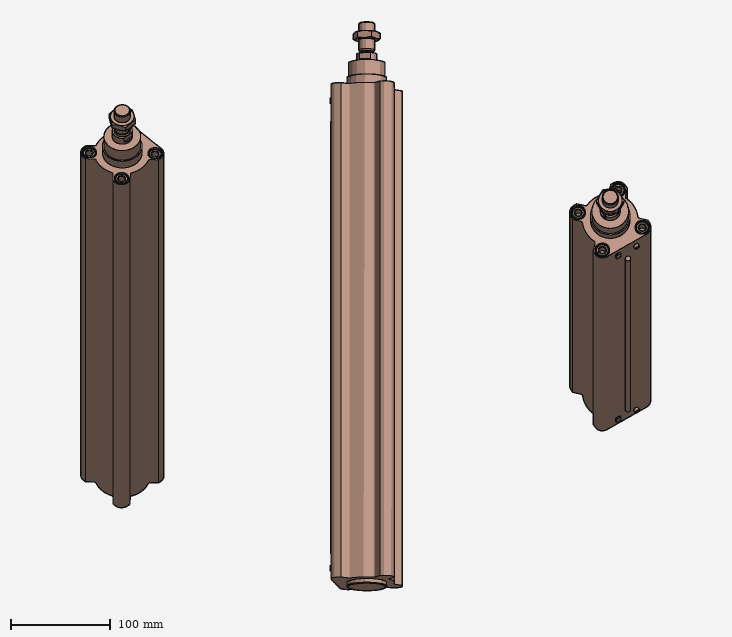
import cadquery as cq
import math


TOTAL_HEIGHT = 578
TUBE_BOTTOM = 4.5
TUBE_TOP = 511.5
SHOULDER_TOP = 522.0
NECK_TOP = 537.0
FLATS_BOTTOM = 539.5
FLATS_TOP = 546.0
UNDERCUT_BOTTOM = 547.0
UNDERCUT_TOP = 548.5
THREAD_BOTTOM = 550.0

TUBE_WIDTH = 64.0
POST_SPACING = 47.0
BELLY_DIAMETER = 56.0
POST_FLAT = 3.5
FLANK_INNER = 13.0
FLANK_FILLET = 2.5
SHOULDER_DIAMETER = 40.0
NECK_DIAMETER = 37.0
BOSS_CHAMFER = 0.85

POCKET_DIAMETER = 14.5
HEAD_DIAMETER = 13.5
HEAD_RIM_DIAMETER = 11.5
HEAD_DROP = 1.0
POCKET_DEPTH = 2.5
THREAD_MOUTH_DIAMETER = 8.0
SCREW_THREAD_DIAMETER = 7.0
SCREW_THREAD_DEPTH = 11.5
DRILL_TIP_ANGLE = 118

RAIL_DIAMETER = 5.4
RAIL_HEIGHT = 4.85
RAIL_BOTTOM = 36.0
RAIL_TOP = 478.5
STUD_OFFSET = 10.5
STUD_END_DISTANCE = 14.0
STUD_DIAMETER = 5.4
STUD_HEIGHT = 3.2
PAD_LENGTH = 11.5
PAD_HEIGHT = 1.45

ROD_DIAMETER = 20.0
ROD_ACROSS_FLATS = 17.0
ROD_THREAD_DIAMETER = 16.0
UNDERCUT_DIAMETER = 14.0
ROD_END_CHAMFER = 0.85
NUT_ACROSS_FLATS = 24.0
NUT_BOTTOM = 560.5
NUT_HEIGHT = 7.5
NUT_FACE_DIAMETER = 23.5
NUT_CHAMFER_ANGLE = 30

HALF_WIDTH = TUBE_WIDTH / 2
POST_CENTRE = POST_SPACING / 2
POST_RADIUS = HALF_WIDTH - POST_CENTRE
BELLY_RADIUS = BELLY_DIAMETER / 2


def cylinder(diameter, bottom, top):
    return cq.Workplane("XY").workplane(offset=bottom).circle(diameter / 2).extrude(top - bottom)


def is_flank_root(point):
    """True for a point at an inner corner between the belly and a flank."""
    near_axis = math.isclose(math.hypot(point.x, point.y), BELLY_RADIUS, abs_tol=0.05)
    return near_axis and math.isclose(min(abs(point.x), abs(point.y)), FLANK_INNER, abs_tol=0.05)


def tube():
    """Round belly with four corner posts and a full-width flat wall on the +Y side."""
    height = TUBE_TOP - TUBE_BOTTOM
    body = cylinder(BELLY_DIAMETER, TUBE_BOTTOM, TUBE_TOP)

    flat_end = POST_CENTRE - POST_FLAT
    arc_middle = POST_CENTRE + POST_RADIUS * math.sqrt(0.5)
    neck_outer = math.sqrt(BELLY_RADIUS**2 - FLANK_INNER**2)
    post = (
        cq.Workplane("XY")
        .workplane(offset=TUBE_BOTTOM)
        .moveTo(0, 0)
        .lineTo(neck_outer, FLANK_INNER)
        .lineTo(HALF_WIDTH, flat_end)
        .lineTo(HALF_WIDTH, POST_CENTRE)
        .threePointArc((arc_middle, arc_middle), (POST_CENTRE, HALF_WIDTH))
        .lineTo(flat_end, HALF_WIDTH)
        .lineTo(FLANK_INNER, neck_outer)
        .close()
        .extrude(height)
    )
    for turn in range(4):
        body = body.union(post.rotate((0, 0, 0), (0, 0, 1), 90 * turn))

    corners = body.edges("|Z").filter(lambda edge: is_flank_root(edge.Center()))
    body = corners.fillet(FLANK_FILLET)

    wall = (
        cq.Workplane("XY")
        .workplane(offset=TUBE_BOTTOM)
        .center(0, POST_CENTRE)
        .rect(POST_SPACING, 2 * POST_RADIUS)
        .extrude(height)
    )
    return body.union(wall)


def screw_hole():
    """Sunk screw head with a threaded hole and drill tip, as the space to remove from a post."""
    head_top = TUBE_TOP - HEAD_DROP
    head_chamfer = (HEAD_DIAMETER - HEAD_RIM_DIAMETER) / 2
    mouth_chamfer = (THREAD_MOUTH_DIAMETER - SCREW_THREAD_DIAMETER) / 2
    thread_bottom = TUBE_TOP - SCREW_THREAD_DEPTH
    tip_height = SCREW_THREAD_DIAMETER / 2 / math.tan(math.radians(DRILL_TIP_ANGLE / 2))
    return (
        cq.Workplane("XZ")
        .moveTo(0, TUBE_TOP)
        .lineTo(POCKET_DIAMETER / 2, TUBE_TOP)
        .lineTo(POCKET_DIAMETER / 2, TUBE_TOP - POCKET_DEPTH)
        .lineTo(HEAD_DIAMETER / 2, TUBE_TOP - POCKET_DEPTH)
        .lineTo(HEAD_DIAMETER / 2, head_top - head_chamfer)
        .lineTo(HEAD_RIM_DIAMETER / 2, head_top)
        .lineTo(THREAD_MOUTH_DIAMETER / 2, head_top)
        .lineTo(SCREW_THREAD_DIAMETER / 2, head_top - mouth_chamfer)
        .lineTo(SCREW_THREAD_DIAMETER / 2, thread_bottom)
        .lineTo(0, thread_bottom - tip_height)
        .close()
        .revolve(360, (0, 0), (0, 1))
    )


def raised_on_wall(sketch, height):
    """Extrude a closed XZ outline from inside the +Y wall to the given height above it."""
    root = POST_RADIUS / 2
    return sketch.extrude(-(height + root)).translate((0, HALF_WIDTH - root, 0))


def wall_details():
    """Round sensor rail, with a stud and an oblong pad beside each end."""
    rail_y = HALF_WIDTH + RAIL_HEIGHT - RAIL_DIAMETER / 2
    details = cylinder(RAIL_DIAMETER, RAIL_BOTTOM, RAIL_TOP).translate((0, rail_y, 0))
    for z in (TUBE_BOTTOM + STUD_END_DISTANCE, TUBE_TOP - STUD_END_DISTANCE):
        stud = cq.Workplane("XZ").center(-STUD_OFFSET, z).circle(STUD_DIAMETER / 2)
        pad = cq.Workplane("XZ").center(STUD_OFFSET, z).slot2D(PAD_LENGTH, STUD_DIAMETER, 90)
        details = details.add(raised_on_wall(stud, STUD_HEIGHT))
        details = details.add(raised_on_wall(pad, PAD_HEIGHT))
    return details.vals()


def make_housing():
    boss = cylinder(SHOULDER_DIAMETER, 0, TUBE_BOTTOM).faces("<Z").chamfer(BOSS_CHAMFER)
    body = tube().union(boss)
    body = body.union(cylinder(SHOULDER_DIAMETER, TUBE_TOP, SHOULDER_TOP))
    body = body.union(cylinder(NECK_DIAMETER, SHOULDER_TOP, NECK_TOP))
    for detail in wall_details():
        body = body.union(cq.Workplane(detail))
    for x in (-POST_CENTRE, POST_CENTRE):
        for y in (-POST_CENTRE, POST_CENTRE):
            body = body.cut(screw_hole().translate((x, y, 0)))
    return body.cut(cylinder(ROD_DIAMETER, TUBE_TOP, NECK_TOP))


def make_rod():
    """Rod seated in the neck, with two wrench flats, an undercut and a threaded end."""
    wrench_section = cylinder(ROD_DIAMETER, FLATS_BOTTOM, FLATS_TOP).intersect(
        cq.Workplane("XY")
        .workplane(offset=FLATS_BOTTOM)
        .rect(ROD_ACROSS_FLATS, ROD_DIAMETER)
        .extrude(FLATS_TOP - FLATS_BOTTOM)
    )
    shaft = cylinder(ROD_DIAMETER, TUBE_TOP, FLATS_BOTTOM).union(wrench_section)
    end_outline = (
        cq.Workplane("XZ")
        .moveTo(0, FLATS_TOP)
        .lineTo(ROD_THREAD_DIAMETER / 2, FLATS_TOP)
        .lineTo(UNDERCUT_DIAMETER / 2, UNDERCUT_BOTTOM)
        .lineTo(UNDERCUT_DIAMETER / 2, UNDERCUT_TOP)
        .lineTo(ROD_THREAD_DIAMETER / 2, THREAD_BOTTOM)
        .lineTo(ROD_THREAD_DIAMETER / 2, TOTAL_HEIGHT - ROD_END_CHAMFER)
        .lineTo(ROD_THREAD_DIAMETER / 2 - ROD_END_CHAMFER, TOTAL_HEIGHT)
        .lineTo(0, TOTAL_HEIGHT)
        .close()
    )
    return shaft.union(end_outline.revolve(360, (0, 0), (0, 1)))


def make_nut():
    """Hexagon nut with flats on the X sides and its corners chamfered at both ends."""
    across_corners = NUT_ACROSS_FLATS / math.cos(math.pi / 6)
    hexagon = (
        cq.Workplane("XY")
        .workplane(offset=NUT_BOTTOM)
        .transformed(rotate=(0, 0, 90))
        .polygon(6, across_corners)
        .extrude(NUT_HEIGHT)
    )
    chamfer_width = (across_corners - NUT_FACE_DIAMETER) / 2
    chamfer_height = chamfer_width * math.tan(math.radians(NUT_CHAMFER_ANGLE))
    chamfered_disc = (
        cylinder(across_corners, NUT_BOTTOM, NUT_BOTTOM + NUT_HEIGHT)
        .faces("<Z or >Z")
        .chamfer(chamfer_height, chamfer_width)
    )
    thread = cylinder(ROD_THREAD_DIAMETER, NUT_BOTTOM, NUT_BOTTOM + NUT_HEIGHT)
    return hexagon.intersect(chamfered_disc).cut(thread)


housing = make_housing()
rod = make_rod()
nut = make_nut()

result = cq.Compound.makeCompound(
    [housing.solids().val(), rod.solids().val(), nut.solids().val()]
)